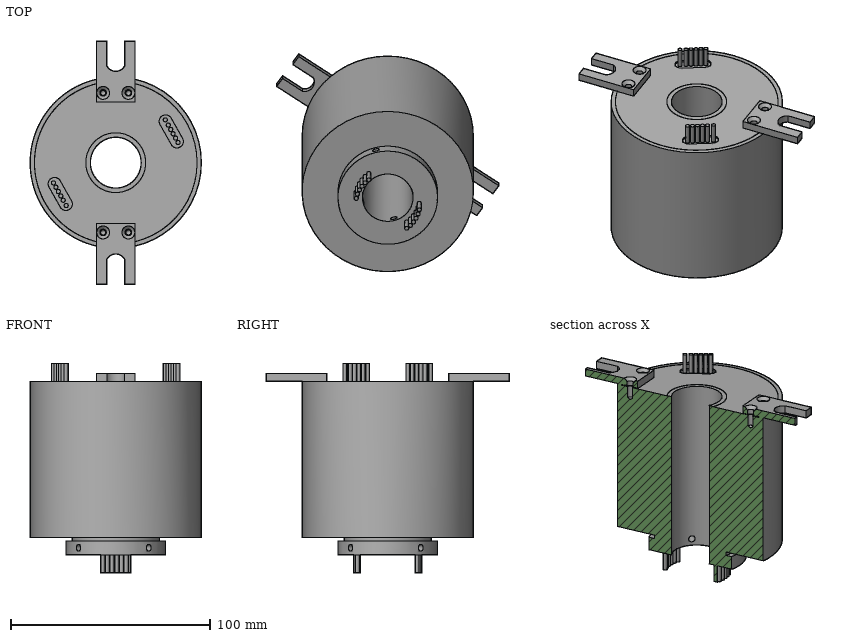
import cadquery as cq
import math

drum_diameter = 86.0
drum_height = 78.3
bore_diameter = 25.4

recess_outer_diameter = 81.6
recess_inner_diameter = 30.0
recess_depth = 0.1

neck_diameter = 43.9
neck_height = 1.6
collar_diameter = 50.0
collar_height = 7.1
set_screw_diameter = 3.3
set_screw_count = 4
set_screw_angle = 41.6

bracket_span = 122.0
bracket_width = 19.5
bracket_length = 30.5
bracket_thickness = 4.0
fork_width = 9.0
fork_depth = 15.1
fork_end_radius = 5.0

screw_spacing = 12.7
screw_radial_position = 35.0
screw_head_diameter = 6.5
screw_hole_diameter = 3.3
screw_thread_diameter = 2.6
screw_thread_depth = 6.1
countersink_angle = 90.0
drill_point_angle = 118.0

wire_diameter = 2.1
wire_length = 9.0
wire_count = 6

slot_radial_position = 32.0
slot_angle = 29.4
slot_length = 18.0
slot_width = 6.5
slot_depth = 1.0
upper_wire_end_gap = 3.0
upper_wire_row_length = 13.0
upper_wire_radial_position = 32.2

lower_wire_radius = 16.1
lower_wire_pitch_angle = 8.6
lower_wire_start_angle = -23.8

collar_top = -neck_height
collar_bottom = collar_top - collar_height


def cylinder(diameter, bottom, height):
    return cq.Workplane("XY").workplane(offset=bottom).circle(diameter / 2).extrude(height)


def both_sides(shape):
    """The shape together with its copy turned half a turn about the main axis."""
    return shape.union(shape.rotate((0, 0, 0), (0, 0, 1), 180))


def make_body():
    drum = cylinder(drum_diameter, 0, drum_height)
    neck = cylinder(neck_diameter, collar_top, neck_height)
    collar = cylinder(collar_diameter, collar_bottom, collar_height)
    body = drum.union(neck).union(collar)
    recess = cylinder(recess_outer_diameter, drum_height - recess_depth, recess_depth).cut(
        cylinder(recess_inner_diameter, drum_height - recess_depth, recess_depth)
    )
    bore = cylinder(bore_diameter, collar_bottom, drum_height - collar_bottom)
    return body.cut(recess).cut(bore)


def make_set_screw_holes():
    """Radial holes through the collar wall into the bore."""
    hole = (
        cq.Workplane("YZ")
        .center(0, collar_bottom + collar_height / 2)
        .circle(set_screw_diameter / 2)
        .extrude(collar_diameter / 2)
    )
    holes = cq.Workplane("XY")
    for index in range(set_screw_count):
        angle = set_screw_angle + index * 360 / set_screw_count
        holes = holes.add(hole.rotate((0, 0, 0), (0, 0, 1), angle))
    return holes.combine()


def make_bracket():
    """Bracket on the +Y side, its fork open outward."""
    outer_end = bracket_span / 2
    fork_bottom = outer_end - fork_depth
    fork_center = fork_bottom + fork_end_radius
    plate = (
        cq.Workplane("XY", origin=(0, outer_end - bracket_length / 2, drum_height))
        .rect(bracket_width, bracket_length)
        .extrude(bracket_thickness)
    )
    half_width = fork_width / 2
    arc_end = fork_center - math.sqrt(fork_end_radius**2 - half_width**2)
    fork = (
        cq.Workplane("XY", origin=(0, 0, drum_height))
        .moveTo(-half_width, outer_end)
        .lineTo(-half_width, arc_end)
        .threePointArc((0, fork_bottom), (half_width, arc_end))
        .lineTo(half_width, outer_end)
        .close()
        .extrude(bracket_thickness)
    )
    return plate.cut(fork)


def make_screw_hole():
    """Countersunk bracket hole over a blind threaded hole with a drill point, on the main axis."""
    top = drum_height + bracket_thickness
    head_radius = screw_head_diameter / 2
    hole_radius = screw_hole_diameter / 2
    thread_radius = screw_thread_diameter / 2
    cone_bottom = top - (head_radius - hole_radius) / math.tan(math.radians(countersink_angle / 2))
    thread_bottom = drum_height - screw_thread_depth
    tip = thread_bottom - thread_radius / math.tan(math.radians(drill_point_angle / 2))
    half_profile = [
        (0, top),
        (head_radius, top),
        (hole_radius, cone_bottom),
        (hole_radius, drum_height),
        (thread_radius, drum_height),
        (thread_radius, thread_bottom),
        (0, tip),
    ]
    return cq.Workplane("XZ").polyline(half_profile).close().revolve(360, (0, 0), (0, 1))


def make_slot():
    return (
        cq.Workplane("XY", origin=(slot_radial_position, 0, drum_height))
        .slot2D(slot_length, slot_width, 90)
        .extrude(-slot_depth)
        .rotate((0, 0, 0), (0, 0, 1), slot_angle)
    )


def make_upper_wires():
    """A row of evenly pitched wires plus one set slightly apart, standing on the slot floor."""
    pitch = (upper_wire_row_length - upper_wire_end_gap) / (wire_count - 2)
    offsets = [-upper_wire_row_length / 2 + index * pitch for index in range(wire_count - 1)]
    offsets.append(upper_wire_row_length / 2)
    return (
        cq.Workplane("XY", origin=(upper_wire_radial_position, 0, drum_height - slot_depth))
        .pushPoints([(0, offset) for offset in offsets])
        .circle(wire_diameter / 2)
        .extrude(slot_depth + wire_length)
        .rotate((0, 0, 0), (0, 0, 1), slot_angle)
    )


def make_lower_wires():
    """Wires on an arc of the -Y side, hanging from the collar."""
    angles = [math.radians(lower_wire_start_angle + index * lower_wire_pitch_angle)
              for index in range(wire_count)]
    spots = [(lower_wire_radius * math.sin(angle), -lower_wire_radius * math.cos(angle))
             for angle in angles]
    return (
        cq.Workplane("XY", origin=(0, 0, collar_bottom))
        .pushPoints(spots)
        .circle(wire_diameter / 2)
        .extrude(-wire_length)
    )


result = make_body().cut(make_set_screw_holes())
result = result.union(both_sides(make_bracket()))
for side in (-1, 1):
    hole = make_screw_hole().translate((side * screw_spacing / 2, screw_radial_position, 0))
    result = result.cut(both_sides(hole))
result = result.cut(both_sides(make_slot()))
result = result.union(both_sides(make_upper_wires()))
result = result.union(both_sides(make_lower_wires()))